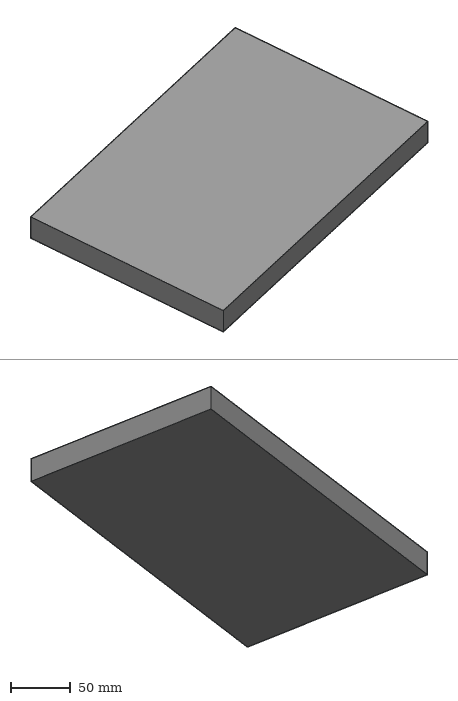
import cadquery as cq

width = 232.0
depth = 239.0
height = 111.4
edge_height = 20.3

rise = height - edge_height

result = (
    cq.Workplane("YZ")
    .moveTo(-depth / 2, 0)
    .lineTo(depth / 2, rise)
    .lineTo(depth / 2, height)
    .lineTo(-depth / 2, edge_height)
    .close()
    .extrude(width / 2, both=True)
)